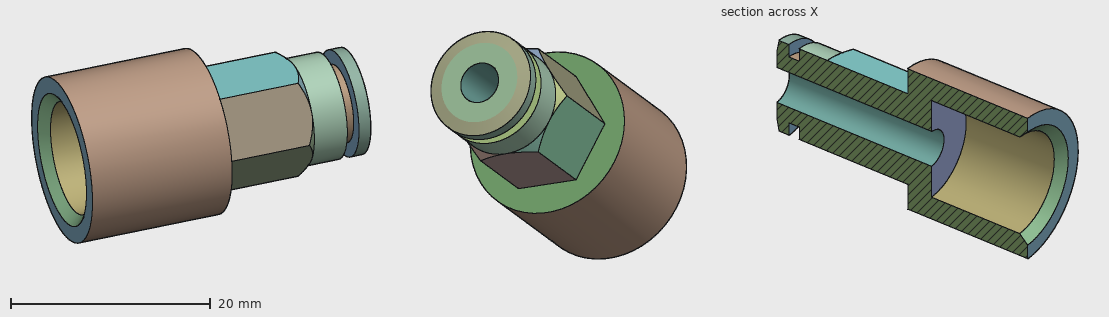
import cadquery as cq

total_length = 31.3
socket_diameter = 17.0
socket_length = 15.0
hex_across_flats = 11.0
hex_length = 10.0
collar_diameter = hex_across_flats
collar_length = 3.55
neck_diameter = 8.0
neck_length = 1.25
rim_chamfer_width = 1.3
rim_chamfer_length = 0.25

bore_diameter = 11.6
bore_depth = 12.0
mouth_diameter = 13.6
through_hole_diameter = 4.15

hex_end = socket_length + hex_length
collar_end = hex_end + collar_length
neck_end = collar_end + neck_length


def plane_at(y):
    """Sketch plane across the axis, facing +Y, with its x direction along Z."""
    return cq.Workplane(cq.Plane(origin=(0, y, 0), xDir=(0, 0, 1), normal=(0, 1, 0)))


def cylinder(diameter, start, end):
    return plane_at(start).circle(diameter / 2).extrude(end - start)


def chamfered_hexagon():
    """Hexagon with flats facing +Z and -Z, its far corners cut by a 45 degree cone."""
    prism = plane_at(socket_length).polygon(6, hex_across_flats, circumscribed=True).extrude(hex_length)
    cone_end_radius = hex_across_flats / 2
    cone_start_radius = cone_end_radius + hex_length
    cone = (
        cq.Workplane("XY")
        .polyline([
            (0, socket_length),
            (cone_start_radius, socket_length),
            (cone_end_radius, hex_end),
            (0, hex_end),
        ])
        .close()
        .revolve(360, (0, 0, 0), (0, 1, 0))
    )
    return prism.intersect(cone)


def release_rim():
    """End flange with a shallow chamfer around its outer face."""
    rim = cylinder(collar_diameter, neck_end, total_length)
    return rim.faces(">Y").edges().chamfer(rim_chamfer_length, rim_chamfer_width)


def socket_cavity():
    """Blind bore with a 45 degree lead-in at its mouth."""
    lead_in = (mouth_diameter - bore_diameter) / 2
    return (
        cq.Workplane("XY")
        .polyline([
            (0, 0),
            (mouth_diameter / 2, 0),
            (bore_diameter / 2, lead_in),
            (bore_diameter / 2, bore_depth),
            (0, bore_depth),
        ])
        .close()
        .revolve(360, (0, 0, 0), (0, 1, 0))
    )


result = (
    cylinder(socket_diameter, 0, socket_length)
    .union(chamfered_hexagon())
    .union(cylinder(collar_diameter, hex_end, collar_end))
    .union(cylinder(neck_diameter, collar_end, neck_end))
    .union(release_rim())
    .cut(socket_cavity())
    .cut(cylinder(through_hole_diameter, 0, total_length))
)